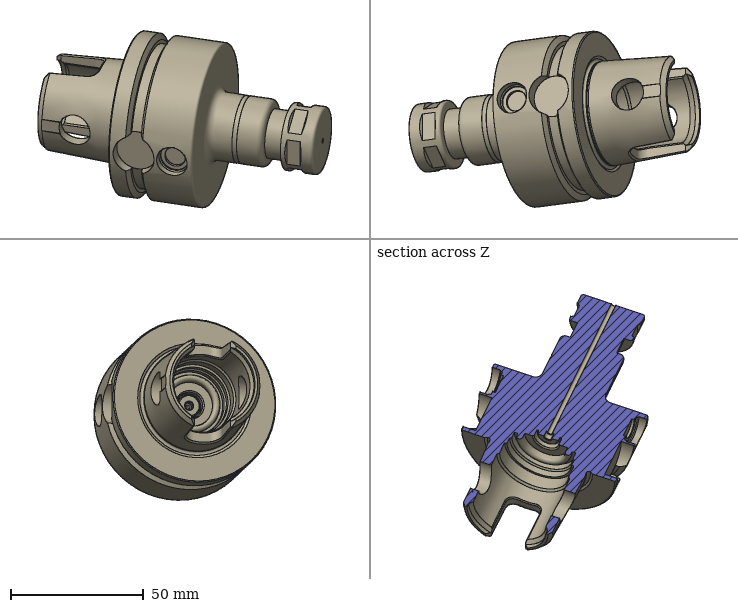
import cadquery as cq
overall_length = 107.0
flange_radius = 63.0 / 2

shank_tip_radius = 17.0
shank_chamfer_end = 2.0
shank_front_radius = 18.4
shank_back_radius = 19.9
shank_taper_end = 30.5
relief_start = 31.1
relief_end = 31.6
neck_radius = 19.8
relief_radius = 19.7
neck_fillet = 0.6

flange_front = 32.0
flange_back = 65.0
front_bevel = 0.4
back_fillet = 0.9
face_recess_depth = 0.5
face_recess_outer_radius = 22.0
face_recess_inner_radius = 21.1

groove_center = 41.89
groove_floor_width = 4.2
groove_mouth_width = 6.7
groove_flank_radius = 29.2
groove_floor_radius = 27.7

hub_radius = 26.0 / 2
hub_back = 87.0
hub_root_fillet = 2.8
hub_back_fillet = 2.0
hub_band_start = 75.1
hub_band_end = 76.9
hub_band_depth = 0.1
stem_radius = 19.0 / 2
nut_front = 93.9
nut_radius = hub_radius
nut_front_fillet = 1.0
nut_back_fillet = 1.1

flat_count = 6
flat_start = 96.5
flat_end = 101.6
flat_distance = 11.9
flat_wall_flare = 0.6

mouth_radius = 15.9
mouth_depth = 1.7
mouth_cone_end = 3.3
bore_radius = 14.8
bore_end = 26.8
bore_cone_end = 27.6
step_radius = 14.0
step_end = 32.7
inner_radius = 13.1
inner_end = 35.3
throat_radius = 12.4
bore_floor = 38.5

ring_outer_radius = 11.1
ring_inner_radius = 8.7
ring_height = 2.1
ring_recess_depth = 1.1
socket_mouth_radius = 11.0 / 2
socket_radius = 10.0 / 2
socket_depth = 3.2
plug_radius = 8.8 / 2
plug_tip_radius = 7.8 / 2
plug_height = 1.6
coolant_entry_radius = 3.5 / 2
coolant_step_radius = 3.0 / 2
coolant_entry_depth = 2.1
coolant_radius = 1.7 / 2

slot_half_width = 7.0
slot_end = 20.0
slot_corner_radius = 3.9
slot_lead_in = 1.6
slot_lead_in_length = 2.0
slot_outer_chamfer = 0.6
slot_inner_chamfer = 0.4
edge_search_margin = 0.1

cross_hole_center = 15.0
cross_hole_radius = 12.5 / 2
key_width = 4.9
key_floor_radius = 18.2

pocket_center = groove_center
pocket_radius = 16.0 / 2
pocket_floor = 26.4
screw_center = 56.9
screw_mouth_radius = 12.0 / 2
screw_thread_radius = 11.0 / 2
screw_seat_radius = 8.0 / 2
screw_mouth_depth = 3.2
screw_thread_depth = 4.3
screw_depth = 5.4


def turned(profile):
    """Close a profile of (x, radius) points and turn it about the X axis."""
    return profile.close().revolve(360, (0, 0, 0), (1, 0, 0))


def drill(x, radius, floor, side):
    """Cylinder along Y reaching from the distance `floor` to beyond the flange, on one side."""
    start = cq.Vector(x, side * floor, 0)
    return cq.Workplane(cq.Solid.makeCylinder(radius, flange_radius, start, cq.Vector(0, side, 0)))


def cone(x, outer_radius, inner_radius, outer_distance, height, side):
    """Cone along Y running inward from `outer_distance`, on one side."""
    start = cq.Vector(x, side * outer_distance, 0)
    inward = cq.Vector(0, -side, 0)
    return cq.Workplane(cq.Solid.makeCone(outer_radius, inner_radius, height, start, inward))


def make_body():
    recess_floor = flange_front + face_recess_depth
    floor_half = groove_floor_width / 2
    mouth_half = groove_mouth_width / 2
    profile = (
        cq.Workplane("XY")
        .moveTo(0, 0)
        .lineTo(0, shank_tip_radius)
        .lineTo(shank_chamfer_end, shank_front_radius)
        .lineTo(shank_taper_end, shank_back_radius)
        .lineTo(relief_start, relief_radius)
        .lineTo(relief_end, relief_radius)
        .lineTo(relief_end, neck_radius)
        .lineTo(recess_floor - neck_fillet, neck_radius)
        .radiusArc((recess_floor, neck_radius + neck_fillet), -neck_fillet)
        .lineTo(recess_floor, face_recess_inner_radius)
        .lineTo(flange_front, face_recess_outer_radius)
        .lineTo(flange_front, flange_radius - front_bevel)
        .lineTo(flange_front + front_bevel, flange_radius)
        .lineTo(groove_center - mouth_half, flange_radius)
        .lineTo(groove_center - floor_half, groove_flank_radius)
        .lineTo(groove_center - floor_half, groove_floor_radius)
        .lineTo(groove_center + floor_half, groove_floor_radius)
        .lineTo(groove_center + floor_half, groove_flank_radius)
        .lineTo(groove_center + mouth_half, flange_radius)
        .lineTo(flange_back - back_fillet, flange_radius)
        .radiusArc((flange_back, flange_radius - back_fillet), back_fillet)
        .lineTo(flange_back, hub_radius + hub_root_fillet)
        .radiusArc((flange_back + hub_root_fillet, hub_radius), -hub_root_fillet)
        .lineTo(hub_band_start, hub_radius)
        .lineTo(hub_band_start, hub_radius - hub_band_depth)
        .lineTo(hub_band_end, hub_radius - hub_band_depth)
        .lineTo(hub_band_end, hub_radius)
        .lineTo(hub_back - hub_back_fillet, hub_radius)
        .radiusArc((hub_back, hub_radius - hub_back_fillet), hub_back_fillet)
        .lineTo(hub_back, stem_radius)
        .lineTo(nut_front, stem_radius)
        .lineTo(nut_front, nut_radius - nut_front_fillet)
        .radiusArc((nut_front + nut_front_fillet, nut_radius), nut_front_fillet)
        .lineTo(overall_length - nut_back_fillet, nut_radius)
        .radiusArc((overall_length, nut_radius - nut_back_fillet), nut_back_fillet)
        .lineTo(overall_length, 0)
    )
    return turned(profile)


def make_bore():
    """Stepped bore with the raised ring, the socket, the plug and the coolant hole."""
    ring_bead = (ring_outer_radius - ring_inner_radius) / 2
    ring_top = bore_floor - ring_height
    disc = bore_floor + ring_recess_depth
    socket_floor = disc + socket_depth
    plug_tip = socket_floor - plug_height
    plug_bevel = plug_radius - plug_tip_radius
    step_depth = coolant_entry_radius - coolant_step_radius
    entry_floor = plug_tip + step_depth + coolant_entry_depth
    profile = (
        cq.Workplane("XY")
        .moveTo(0, 0)
        .lineTo(0, mouth_radius)
        .lineTo(mouth_depth, mouth_radius)
        .lineTo(mouth_cone_end, bore_radius)
        .lineTo(bore_end, bore_radius)
        .lineTo(bore_cone_end, step_radius)
        .lineTo(step_end, step_radius)
        .lineTo(step_end, inner_radius)
        .lineTo(inner_end, inner_radius)
        .lineTo(inner_end + inner_radius - throat_radius, throat_radius)
        .lineTo(bore_floor, throat_radius)
        .lineTo(bore_floor, ring_outer_radius)
        .lineTo(ring_top + ring_bead, ring_outer_radius)
        .radiusArc((ring_top + ring_bead, ring_inner_radius), -ring_bead)
        .lineTo(disc, ring_inner_radius)
        .lineTo(disc, socket_mouth_radius)
        .lineTo(disc + socket_mouth_radius - socket_radius, socket_radius)
        .lineTo(socket_floor, socket_radius)
        .lineTo(socket_floor, plug_radius)
        .lineTo(plug_tip + plug_bevel, plug_radius)
        .lineTo(plug_tip, plug_tip_radius)
        .lineTo(plug_tip, coolant_entry_radius)
        .lineTo(plug_tip + step_depth, coolant_step_radius)
        .lineTo(entry_floor, coolant_step_radius)
        .lineTo(entry_floor, coolant_radius)
        .lineTo(overall_length, coolant_radius)
        .lineTo(overall_length, 0)
    )
    return turned(profile)


def make_slots():
    """Open-ended slot passing right through the shank along Z."""
    half = slot_half_width
    return (
        cq.Workplane("XY")
        .polyline([(0, -half), (slot_end, -half), (slot_end, half), (0, half)])
        .close()
        .extrude(flange_radius, both=True)
        .edges("|Z and >X")
        .fillet(slot_corner_radius)
    )


def make_lead_in():
    """Flared entry to both slots at the shank tip."""
    half = slot_half_width
    wide = half + slot_lead_in
    return (
        cq.Workplane("XY")
        .polyline([(0, -wide), (slot_lead_in_length, -half), (slot_lead_in_length, half), (0, wide)])
        .close()
        .extrude(flange_radius, both=True)
    )


def chamfer_slot_edges(body, inner, outer, size):
    """Chamfer the long slot edges that lie between two distances from the XY plane."""
    reach = slot_half_width + 1.1
    for side in (-1, 1):
        near = (slot_lead_in_length, -reach, side * inner)
        far = (slot_end + 1.1, reach, side * outer)
        body = body.edges(cq.selectors.BoxSelector(near, far)).chamfer(size)
    return body


def make_side_cuts(side):
    """Key flat, cross hole, flange pocket and stepped screw hole on one side."""
    key = (
        cq.Workplane("XY")
        .box(cross_hole_center, flange_radius, key_width, centered=(False, True, True))
        .translate((0, side * (key_floor_radius + flange_radius / 2), 0))
    )
    cuts = key.union(drill(cross_hole_center, cross_hole_radius, 0, side))
    cuts = cuts.union(drill(pocket_center, pocket_radius, pocket_floor, side))

    screw_mouth_floor = flange_radius - screw_mouth_depth
    screw_bevel = screw_mouth_radius - screw_thread_radius
    cuts = cuts.union(drill(screw_center, screw_mouth_radius, screw_mouth_floor, side))
    cuts = cuts.union(drill(screw_center, screw_thread_radius, flange_radius - screw_thread_depth, side))
    cuts = cuts.union(drill(screw_center, screw_seat_radius, flange_radius - screw_depth, side))
    return cuts.union(
        cone(screw_center, screw_mouth_radius, screw_thread_radius, screw_mouth_floor, screw_bevel, side)
    )


def make_flats():
    """Shallow wrench flats with flared end walls round the nut, one facing each of +Y and -Y."""
    rise = nut_radius - flat_distance
    outside = 2 * rise
    flare = outside * flat_wall_flare / rise
    flat = (
        cq.Workplane("XY")
        .moveTo(flat_start, flat_distance)
        .lineTo(flat_end, flat_distance)
        .lineTo(flat_end + flare, flat_distance + outside)
        .lineTo(flat_start - flare, flat_distance + outside)
        .close()
        .extrude(nut_radius, both=True)
    )
    flats = flat
    for index in range(1, flat_count):
        flats = flats.union(flat.rotate((0, 0, 0), (1, 0, 0), index * 360 / flat_count))
    return flats


plain_bore = cq.Workplane("YZ").circle(bore_radius).extrude(bore_end)
edge_split = bore_radius + edge_search_margin
result = make_body().cut(make_slots()).cut(plain_bore)
result = chamfer_slot_edges(result, edge_split, flange_radius, slot_outer_chamfer)
result = chamfer_slot_edges(result, bore_radius / 2, edge_split, slot_inner_chamfer)
result = result.cut(make_lead_in()).cut(make_bore())
for side in (-1, 1):
    result = result.cut(make_side_cuts(side))
result = result.cut(make_flats())